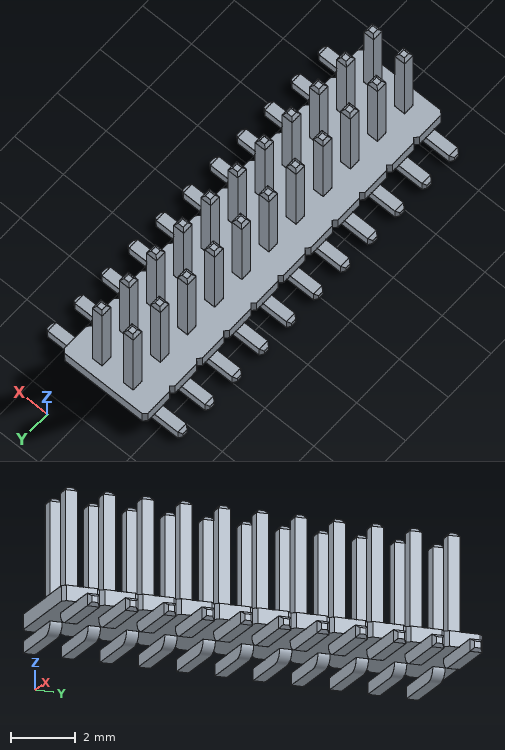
import cadquery as cq


pins_per_row = 11
body_length = 13.97
body_width = 3.42
body_height = 0.5
body_chamfer = 0.13
pin_size = 0.4
overall_width = 5.57
overall_height = 4.4
tip_length = 0.13
tip_inset = 0.1

pitch = body_length / pins_per_row
body_bottom = pin_size
bend_radius = pin_size
pin_x = pitch / 2
pin_inner_face = pin_x - pin_size / 2
pin_outer_face = pin_x + pin_size / 2
shaft_top = overall_height - tip_length
foot_tip_base = overall_width / 2 - tip_length
tip_size = pin_size - 2 * tip_inset

row_positions = [(index - (pins_per_row - 1) / 2) * pitch for index in range(pins_per_row)]


def make_body_segment():
    """One pitch of the insulator at Y = 0; adjoining chamfers form the V notches."""
    segment = cq.Workplane("XY").workplane(offset=body_bottom)
    segment = segment.rect(body_width, pitch).extrude(body_height)
    return segment.edges("|Z").chamfer(body_chamfer)


def make_tip(base_plane):
    """Truncated pyramid that tapers along the normal of its base plane."""
    tip = cq.Workplane(base_plane).rect(pin_size, pin_size)
    return tip.workplane(offset=tip_length).rect(tip_size, tip_size).loft()


def make_pin():
    """L-shaped pin on the +X side at Y = 0, rounded outside its bend and tapered at both ends."""
    bar = (
        cq.Workplane("XZ")
        .moveTo(pin_inner_face, shaft_top)
        .lineTo(pin_inner_face, bend_radius)
        .radiusArc((pin_inner_face + bend_radius, 0), -bend_radius)
        .lineTo(foot_tip_base, 0)
        .lineTo(foot_tip_base, pin_size)
        .lineTo(pin_outer_face, pin_size)
        .lineTo(pin_outer_face, shaft_top)
        .close()
        .extrude(pin_size / 2, both=True)
    )
    top_plane = cq.Plane(origin=(pin_x, 0, shaft_top))
    foot_plane = cq.Plane(origin=(foot_tip_base, 0, pin_size / 2), xDir=(0, 1, 0), normal=(1, 0, 0))
    return bar.union(make_tip(top_plane)).union(make_tip(foot_plane))


right_pin = make_pin()
left_pin = right_pin.mirror("YZ")
pin_pair_unit = make_body_segment().union(right_pin).union(left_pin)

result = pin_pair_unit.translate((0, row_positions[0], 0))
for row_y in row_positions[1:]:
    result = result.union(pin_pair_unit.translate((0, row_y, 0)))
result = result.clean()